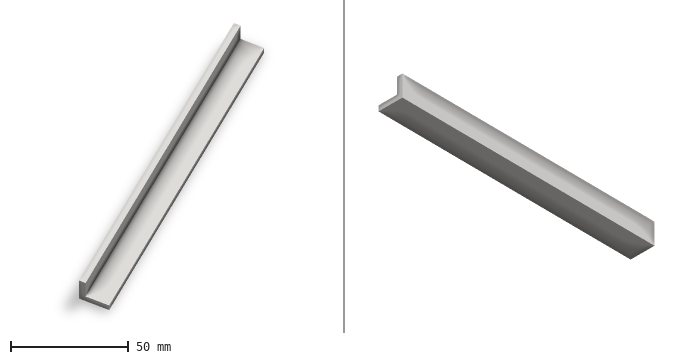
import cadquery as cq

width = 14.3
length = 152.4
height = 12.6
thickness = 3.2

flat_leg = cq.Workplane("XY").box(width, length, thickness, centered=False)
upright_leg = cq.Workplane("XY").box(thickness, length, height, centered=False)

result = flat_leg.union(upright_leg)